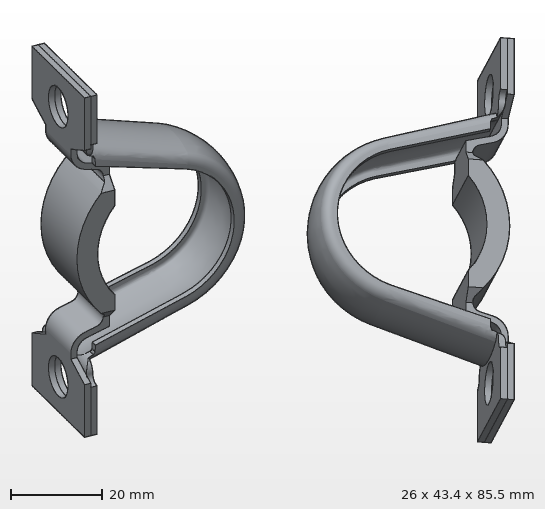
import cadquery as cq
import math


total_height = 85.5
total_depth = 43.35
lug_width = 26.0
sheet = 1.5
hole_dia = 9.6
hole_height = 34.0

half_height = total_height / 2
lug_half = lug_width / 2

saddle_half = 8.9
saddle_center_y = 20.9
seat_radius = 17.1
saddle_radius = 22.2
saddle_back_y = 7.95
neck_half = 6.2
neck_top = 26.4
taper_top = 29.5
block_top = 15.1
upper_bend_height = 25.05
upper_bend_radius = 3.2
lower_bend_radius = 2.2
bend_turn = math.radians(75)

strap_top_y = total_depth - sheet
strap_radius = 21.4
strap_center_y = strap_top_y - strap_radius
leg_angle = 17.5
crown_half = 7.3
crown_rise = 1.2
bow_corner = 2.4
bow_flank = 1.1
foot_corner = 2.8
foot_flank = 1.6
foot_flare = 5.0
cavity_overrun = 0.85

lug_bottom = 30.5
ear_half = 10.95
ear_radius = 3.1
notch_radius = lug_half - ear_half
ear_height = lug_bottom - notch_radius
foot_round = 3.25
foot_round_height = 28.2
flank_end_y = 3.0
flank_end_top = 24.3
flank_step_y = 2.65


def polar(center, radius, angle):
    return (center[0] + radius * math.cos(angle), center[1] + radius * math.sin(angle))


def both_ends(upper):
    """Join an upper half with its mirror image below Z = 0."""
    return upper.union(upper.mirror("XY"))


def lug_holes():
    """Bolt holes through both lugs."""
    return (
        cq.Workplane("XZ")
        .pushPoints([(0, hole_height), (0, -hole_height)])
        .circle(hole_dia / 2)
        .extrude(2 * sheet, both=True)
    )


def saddle_side_profile():
    """Upper half of the saddle in the YZ plane, extruded over the lug width."""
    upper = (upper_bend_radius, upper_bend_height)
    outer_radius = upper_bend_radius + sheet
    turn_cos = math.cos(bend_turn)
    turn_sin = math.sin(bend_turn)
    upper_offset = upper[0] * turn_cos + upper[1] * turn_sin
    back_offset = upper_offset - upper_bend_radius
    front_offset = upper_offset - outer_radius
    lower_y = saddle_back_y - sheet - lower_bend_radius
    lower_z = (front_offset - lower_bend_radius - lower_y * turn_cos) / turn_sin
    lower = (lower_y, lower_z)
    axis = (saddle_center_y, 0)
    spread = math.hypot(lower[0] - axis[0], lower[1])
    bearing = math.atan2(lower[1], lower[0] - axis[0])
    opening = math.acos(
        (saddle_radius**2 + spread**2 - lower_bend_radius**2) / (2 * saddle_radius * spread)
    )
    junction_angle = bearing - opening
    junction = polar(axis, saddle_radius, junction_angle)
    hollow_end = math.atan2(junction[1] - lower[1], junction[0] - lower[0])

    back_corner_z = (back_offset - saddle_back_y * turn_cos) / turn_sin
    seat_edge_z = math.sqrt(seat_radius**2 - (saddle_center_y - saddle_back_y) ** 2)
    seat_edge_angle = math.atan2(seat_edge_z, saddle_back_y - saddle_center_y)
    bend_end = math.pi + bend_turn
    bend_mid = math.pi + bend_turn / 2

    return (
        cq.Workplane("YZ")
        .moveTo(-sheet, half_height)
        .lineTo(-sheet, upper_bend_height)
        .threePointArc(polar(upper, outer_radius, bend_mid), polar(upper, outer_radius, bend_end))
        .lineTo(*polar(lower, lower_bend_radius, bend_turn))
        .threePointArc(
            polar(lower, lower_bend_radius, (bend_turn + hollow_end) / 2),
            junction,
        )
        .threePointArc(
            polar(axis, saddle_radius, (junction_angle + math.pi) / 2),
            polar(axis, saddle_radius, math.pi),
        )
        .lineTo(saddle_center_y - seat_radius, 0)
        .threePointArc(
            polar(axis, seat_radius, (seat_edge_angle + math.pi) / 2),
            (saddle_back_y, seat_edge_z),
        )
        .lineTo(saddle_back_y, back_corner_z)
        .lineTo(*polar(upper, upper_bend_radius, bend_end))
        .threePointArc(
            polar(upper, upper_bend_radius, bend_mid),
            (0, upper_bend_height),
        )
        .lineTo(0, half_height)
        .close()
        .extrude(lug_half, both=True)
    )


def saddle_front_outline():
    """Upper half outline in the XZ plane: wide lug, narrow neck, 45 degree shoulders, block."""
    right_edge = [
        (saddle_half, 0),
        (saddle_half, block_top),
        (neck_half, block_top + saddle_half - neck_half),
        (neck_half, neck_top),
        (lug_half, taper_top),
        (lug_half, half_height),
    ]
    left_edge = [(-x, z) for x, z in reversed(right_edge)]
    return cq.Workplane("XZ").polyline(right_edge + left_edge).close().extrude(half_height, both=True)


def make_saddle():
    upper = saddle_side_profile().intersect(saddle_front_outline())
    return both_ends(upper).cut(lug_holes())


def channel_section(plane, corner, flank, flare, inset=0.0, overrun=0.0):
    """Closed channel section; local x is the width, local y points outwards from the crown.

    With an inset the section is the inside of the sheet, lengthened past the rim by overrun.
    """
    crown_radius = (crown_half**2 + crown_rise**2) / (2 * crown_rise)
    tilt = math.asin(crown_half / crown_radius)
    flare = math.radians(flare)
    corner_start = math.pi / 2 - tilt
    corner_center = polar((0, -crown_radius), crown_radius - corner, corner_start)
    radius = corner - inset
    shoulder = polar(corner_center, radius, corner_start)
    corner_mid = polar(corner_center, radius, (corner_start + flare) / 2)
    corner_end = polar(corner_center, radius, flare)
    length = flank + overrun
    rim = (corner_end[0] + length * math.tan(flare), corner_end[1] - length)

    def left(point):
        return (-point[0], point[1])

    return (
        cq.Workplane(plane)
        .moveTo(*left(rim))
        .lineTo(*left(corner_end))
        .threePointArc(left(corner_mid), left(shoulder))
        .threePointArc((0, -inset), shoulder)
        .threePointArc(corner_mid, corner_end)
        .lineTo(*rim)
        .close()
    )


def bow(inset=0.0, overrun=0.0):
    """Round part of the strap, revolved about the strap axis between the two legs."""
    start = math.radians(leg_angle)
    crown_y = strap_center_y + strap_radius * math.sin(start)
    crown_z = strap_radius * math.cos(start)
    plane = cq.Plane(
        origin=(0, crown_y, crown_z),
        xDir=(1, 0, 0),
        normal=(0, -math.cos(start), math.sin(start)),
    )
    section = channel_section(plane, bow_corner, bow_flank, 0.0, inset, overrun)
    return section.revolve(180 - 2 * leg_angle, (0.85, -strap_radius, 0), (0, -strap_radius, 0))


def leg(inset=0.0, overrun=0.0):
    """Upper leg, from the end of the bow down to where its crown reaches Y = 0."""
    slope = math.radians(leg_angle)
    start_y = strap_center_y + strap_radius * math.sin(slope)
    start_z = strap_radius * math.cos(slope)
    end_z = start_z + start_y * math.tan(slope)
    normal = (0, -math.cos(slope), math.sin(slope))
    start = cq.Plane(origin=(0, start_y, start_z), xDir=(1, 0, 0), normal=normal)
    end = cq.Plane(origin=(0, 0, end_z), xDir=(1, 0, 0), normal=normal)
    start_wire = channel_section(start, bow_corner, bow_flank, 0.0, inset, overrun).val()
    end_wire = channel_section(end, foot_corner, foot_flank, foot_flare, inset, overrun).val()
    return cq.Workplane(cq.Solid.makeLoft([start_wire, end_wire], True))


def strap_lug():
    """Upper lug with a rounded notch and ears at each side where it runs into the leg."""
    notch = (lug_half, ear_height)
    ear = (ear_half - ear_radius, ear_height)
    right_half = (
        cq.Workplane("XZ")
        .moveTo(0, half_height)
        .lineTo(lug_half, half_height)
        .lineTo(lug_half, lug_bottom)
        .threePointArc(polar(notch, notch_radius, 0.75 * math.pi), (ear_half, ear_height))
        .threePointArc(polar(ear, ear_radius, -0.25 * math.pi), (ear[0], ear[1] - ear_radius))
        .lineTo(0, ear[1] - ear_radius)
        .close()
        .extrude(-sheet)
    )
    return right_half.union(right_half.mirror("YZ"))


def foot_trim():
    """Material removed below the rounded front face and in front of the flank ends."""
    center = (foot_round, foot_round_height)
    round_end = math.pi + math.acos((foot_round - flank_step_y) / foot_round)
    return (
        cq.Workplane("YZ")
        .moveTo(0, foot_round_height)
        .threePointArc(
            polar(center, foot_round, (math.pi + round_end) / 2),
            polar(center, foot_round, round_end),
        )
        .lineTo(flank_end_y, flank_end_top)
        .lineTo(flank_end_y, 0)
        .lineTo(-half_height, 0)
        .lineTo(-half_height, half_height)
        .lineTo(0, half_height)
        .close()
        .extrude(lug_half, both=True)
    )


def make_strap():
    foot = leg().union(strap_lug()).cut(leg(sheet, cavity_overrun)).cut(foot_trim())
    hollow_bow = bow().cut(bow(sheet, cavity_overrun))
    return hollow_bow.union(foot).union(foot.mirror("XY")).cut(lug_holes())


saddle = make_saddle()
strap = make_strap()

result = cq.Compound.makeCompound([saddle.val(), strap.val()])